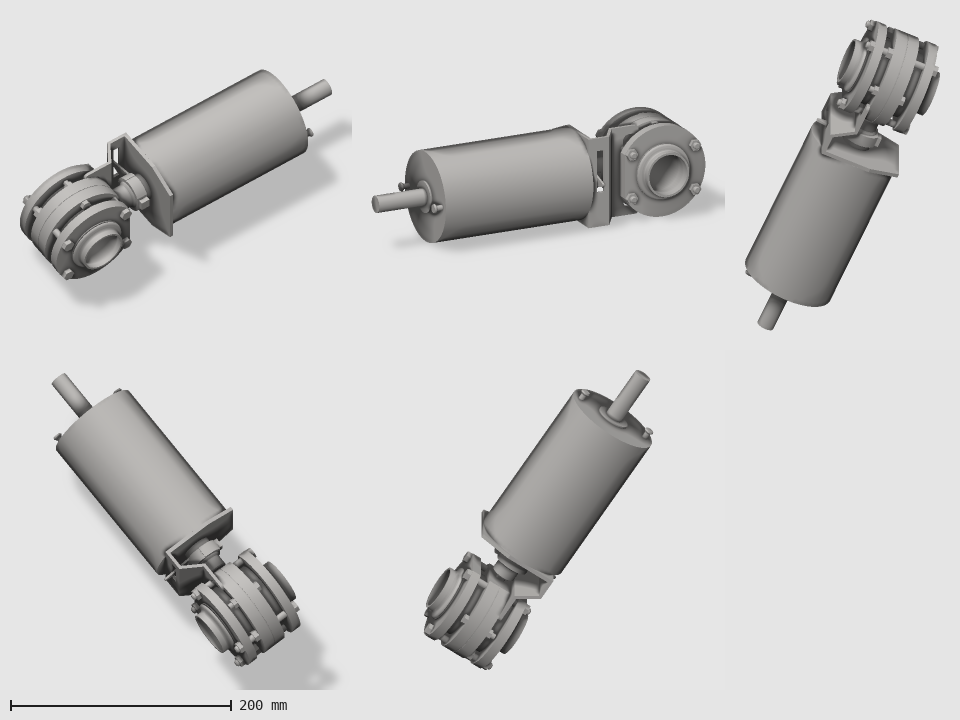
import cadquery as cq
import math


BORE_D = 38.0
PIPE_D = 42.0
PIPE_END_X = 41.5
COLLAR_D = 52.7
COLLAR_GROOVE_D = 49.0
COLLAR_X = 32.7
CONE_END_X = 34.5
CONE_FILLET = 2.2
COLLAR_GROOVE_X = (30.2, 31.0)
FLANGE_D = 86.5
FLANGE_IN_X = 20.5
FLANGE_OUT_X = 29.2
NECK_D = 62.0
DISC_D = FLANGE_D
DISC_HALF = 11.0
SEAM_WIDTH = 1.0
SEAM_DEPTH = 0.48
FLAT_Y = 37.8

BOLT_CIRCLE_R = 38.0
BOLT_ANGLE = 33.5
LONG_BOLT_D = 6.5
LONG_NUT_FLATS = 9.5
LONG_HEAD_LENGTH = 4.0
LONG_BOLT_END_X = -36.2
BOLT_CHAMFER = 1.0
INNER_NUT_LENGTH = 4.8
SHORT_BOLT_D = 5.5
SHORT_NUT_FLATS = 8.3
SHORT_NUT_LENGTH = 3.8
SHORT_BOLT_END_X = -18.7

ACTUATOR_D = 85.0
ACTUATOR_Y = 76.0
ACTUATOR_TOP_Y = 224.3
ROD_D = 16.0
OVERALL_LENGTH = 317.7
ROD_TOP_Y = OVERALL_LENGTH - FLANGE_D / 2
BOSS_D = 30.0
BOSS_HEIGHT = 2.0
STUD_X = 34.3
STUD_D = 5.0
STUD_NECK = 5.5
STUD_HEAD_D = 8.5
STUD_TIP_D = 7.5
STUD_CONE = 2.0
STUD_CROWN = 1.5

HUB_D = 26.0
HUB_END_Y = 55.0
HUB_END_D = 25.0
HUB_BEVEL = 1.0
HUB_CONE_END_Y = 53.5
COUPLING_D = 22.0
COUPLING_END_Y = 42.5
COUPLING_CHAMFER = 1.0
STEM_D = 9.2
STEM_FLATS = 6.5

SHEET = 3.0
PLATE = 3.5
BRACKET_HALF_Z = 42.3
LEG_X = -32.7
UPPER_BEND_Y = 55.3
LOWER_BEND_Y = 43.5
BRACKET_TIP_Y = 16.5
TIP_RADIUS = 3.5
PLATE_END_X = ACTUATOR_D / 2
PLATE_END_HALF_Z = 30.0
TAPER_X = 14.0
SLOT_Y = (60.0, 67.5)
SLOT_Z = (-10.0, 30.2)
NOTCH_END_Y = 32.5
NOTCH_HALF_Z = 34.5
NOTCH_RADIUS = 6.5

RING_D = 33.5
RING_Y = (56.0, 66.5)
RING_FLAT_X = 14.5
LUG_END_X = 18.7
LUG_Y = 57.8
LUG_HALF_Z = 4.8
POINTER_THICKNESS = 2.0
POINTER_TIP_X = -42.0
POINTER_TIP_RADIUS = 2.0
POINTER_ROOT_HALF_Z = 9.5
SLIT_WIDTH = 2.0
SLIT_OFFSET = 3.2
SLIT_DEPTH = 1.3


def rod_x(diameter, x0, x1, y=0.0, z=0.0):
    """Round bar along X."""
    return cq.Workplane("YZ", origin=(x0, 0, 0)).center(y, z).circle(diameter / 2).extrude(x1 - x0)


def rod_y(diameter, y0, y1):
    """Round bar along Y."""
    return cq.Workplane("XZ", origin=(0, y0, 0)).circle(diameter / 2).extrude(y0 - y1)


def hex_x(flats, x0, x1, y, z):
    """Hexagonal bar along X with corners facing +Y and -Y."""
    corners = flats / math.cos(math.pi / 6)
    return cq.Workplane("YZ", origin=(x0, 0, 0)).center(y, z).polygon(6, corners).extrude(x1 - x0)


def box_between(x, y, z):
    """Box from three (low, high) pairs."""
    size = [high - low for low, high in (x, y, z)]
    return cq.Workplane("XY").box(*size, centered=False).translate((x[0], y[0], z[0]))


BOLT_Y = BOLT_CIRCLE_R * math.cos(math.radians(BOLT_ANGLE))
BOLT_Z = BOLT_CIRCLE_R * math.sin(math.radians(BOLT_ANGLE))
LONG_BOLTS = [(sy * BOLT_Y, sz * BOLT_Z) for sy in (-1, 1) for sz in (-1, 1)]
SHORT_BOLTS_Z = (-BOLT_CIRCLE_R, BOLT_CIRCLE_R)


def cut_stem_flat(body):
    """Trim a round body to the flat that faces the actuator."""
    reach = FLANGE_D
    return body.cut(box_between((-reach, reach), (FLAT_Y, reach), (-reach, reach)))


def make_flange(side):
    """Weld end: flange ring, grooved collar, cone and pipe; side is -1 or +1 along X."""
    profile = [
        (FLANGE_IN_X, BORE_D / 2),
        (FLANGE_IN_X, FLANGE_D / 2),
        (FLANGE_OUT_X, FLANGE_D / 2),
        (FLANGE_OUT_X, COLLAR_D / 2),
        (COLLAR_X, COLLAR_D / 2),
        (CONE_END_X, PIPE_D / 2),
        (PIPE_END_X, PIPE_D / 2),
        (PIPE_END_X, BORE_D / 2),
    ]
    flange = cq.Workplane("XY").polyline(profile).close().revolve(360, (0, 0, 0), (1, 0, 0))
    cone_rims = cq.selectors.BoxSelector(
        (COLLAR_X - CONE_FILLET, -FLANGE_D, -FLANGE_D), (CONE_END_X + CONE_FILLET, FLANGE_D, FLANGE_D)
    )
    flange = flange.edges("%CIRCLE").edges(cone_rims).fillet(CONE_FILLET)
    groove = rod_x(FLANGE_D, *COLLAR_GROOVE_X).cut(rod_x(COLLAR_GROOVE_D, *COLLAR_GROOVE_X))
    flange = cut_stem_flat(flange.cut(groove))
    if side < 0:
        flange = flange.mirror("YZ")
    for y, z in LONG_BOLTS:
        flange = flange.cut(rod_x(LONG_BOLT_D, -PIPE_END_X, PIPE_END_X, y, z))
    return flange


def make_valve():
    """Centre disc with necks, seam groove, stem and the fixed bolts."""
    valve = cut_stem_flat(rod_x(DISC_D, -DISC_HALF, DISC_HALF))
    seam = rod_x(DISC_D, -SEAM_WIDTH / 2, SEAM_WIDTH / 2)
    seam = seam.cut(rod_x(DISC_D - 2 * SEAM_DEPTH, -SEAM_WIDTH / 2, SEAM_WIDTH / 2))
    valve = valve.cut(seam)
    valve = valve.union(rod_x(NECK_D, -FLANGE_IN_X, FLANGE_IN_X))
    valve = valve.cut(rod_x(BORE_D, -FLANGE_IN_X, FLANGE_IN_X))

    stem = rod_y(STEM_D, NECK_D / 2, COUPLING_END_Y)
    flats = (-STEM_FLATS / 2, STEM_FLATS / 2)
    stem = stem.intersect(box_between((-STEM_D, STEM_D), (0, COUPLING_END_Y), flats))
    valve = valve.union(stem)

    head_x = FLANGE_OUT_X + LONG_HEAD_LENGTH
    for y, z in LONG_BOLTS:
        bolt = rod_x(LONG_BOLT_D, LONG_BOLT_END_X, head_x, y, z)
        valve = valve.union(bolt.faces("<X").chamfer(BOLT_CHAMFER))
        valve = valve.union(hex_x(LONG_NUT_FLATS, -head_x, -FLANGE_OUT_X, y, z))
        valve = valve.union(hex_x(LONG_NUT_FLATS, FLANGE_OUT_X, head_x, y, z))
        if y < 0:
            valve = valve.union(hex_x(LONG_NUT_FLATS, -DISC_HALF - INNER_NUT_LENGTH, -DISC_HALF, y, z))

    nut_x = DISC_HALF + SHORT_NUT_LENGTH
    for z in SHORT_BOLTS_Z:
        valve = valve.union(rod_x(SHORT_BOLT_D, SHORT_BOLT_END_X, nut_x, 0, z))
        valve = valve.union(hex_x(SHORT_NUT_FLATS, -nut_x, -DISC_HALF, 0, z))
        valve = valve.union(hex_x(SHORT_NUT_FLATS, DISC_HALF, nut_x, 0, z))
    return valve


def make_actuator():
    """Cylinder with an end boss, a rod and two studs."""
    actuator = rod_y(ACTUATOR_D, ACTUATOR_Y, ACTUATOR_TOP_Y)
    actuator = actuator.union(rod_y(BOSS_D, ACTUATOR_TOP_Y, ACTUATOR_TOP_Y + BOSS_HEIGHT))
    actuator = actuator.union(rod_y(ROD_D, ACTUATOR_TOP_Y, ROD_TOP_Y))
    neck_y = ACTUATOR_TOP_Y + STUD_NECK
    rim_y = neck_y + STUD_CONE
    stud_profile = [
        (0, ACTUATOR_TOP_Y),
        (STUD_D / 2, ACTUATOR_TOP_Y),
        (STUD_D / 2, neck_y),
        (STUD_HEAD_D / 2, rim_y),
        (STUD_TIP_D / 2, rim_y + STUD_CROWN),
        (0, rim_y + STUD_CROWN),
    ]
    stud = cq.Workplane("XY").polyline(stud_profile).close().revolve(360, (0, 0, 0), (0, 1, 0))
    for x in (-STUD_X, STUD_X):
        actuator = actuator.union(stud.translate((x, 0, 0)))
    return actuator


def make_coupling():
    """Stepped shaft from the actuator down to the valve stem."""
    profile = [
        (0, ACTUATOR_Y),
        (HUB_D / 2, ACTUATOR_Y),
        (HUB_D / 2, HUB_END_Y + HUB_BEVEL),
        (HUB_END_D / 2, HUB_END_Y),
        (COUPLING_D / 2, HUB_CONE_END_Y),
        (COUPLING_D / 2, COUPLING_END_Y + COUPLING_CHAMFER),
        (COUPLING_D / 2 - COUPLING_CHAMFER, COUPLING_END_Y),
        (0, COUPLING_END_Y),
    ]
    return cq.Workplane("XY").polyline(profile).close().revolve(360, (0, 0, 0), (0, 1, 0))


def make_bracket():
    """Bent sheet from the actuator face to the side of the valve disc."""
    low_x = -DISC_HALF - SHEET
    bend_run = low_x - LEG_X
    bend_angle = math.atan2(bend_run, UPPER_BEND_Y - LOWER_BEND_Y)
    miter = SHEET * math.tan(bend_angle / 2)
    side = [
        (PLATE_END_X, ACTUATOR_Y),
        (LEG_X, ACTUATOR_Y),
        (LEG_X, UPPER_BEND_Y),
        (low_x, LOWER_BEND_Y),
        (low_x, BRACKET_TIP_Y),
        (-DISC_HALF, BRACKET_TIP_Y),
        (-DISC_HALF, LOWER_BEND_Y + miter),
        (LEG_X + SHEET, UPPER_BEND_Y + miter),
        (LEG_X + SHEET, ACTUATOR_Y - PLATE),
        (PLATE_END_X, ACTUATOR_Y - PLATE),
    ]
    bracket = cq.Workplane("XY").polyline(side).close().extrude(BRACKET_HALF_Z, both=True)
    bracket = bracket.edges("|X and <Y").fillet(TIP_RADIUS)

    for side_z in (-1, 1):
        corner = [
            (TAPER_X, side_z * BRACKET_HALF_Z),
            (PLATE_END_X, side_z * BRACKET_HALF_Z),
            (PLATE_END_X, side_z * PLATE_END_HALF_Z),
        ]
        bracket = bracket.cut(
            cq.Workplane("XZ", origin=(0, ACTUATOR_Y, 0)).polyline(corner).close().extrude(PLATE)
        )

    bracket = bracket.cut(rod_y(HUB_D, ACTUATOR_Y - PLATE, ACTUATOR_Y))
    bracket = bracket.cut(box_between((LEG_X, LEG_X + SHEET), SLOT_Y, SLOT_Z))
    notch = box_between((low_x, -DISC_HALF), (0, NOTCH_END_Y), (-NOTCH_HALF_Z, NOTCH_HALF_Z))
    bracket = bracket.cut(notch.edges("|X and >Y").fillet(NOTCH_RADIUS))
    for side_z in (-1, 1):
        bracket = bracket.cut(rod_x(LONG_BOLT_D, low_x, -DISC_HALF, BOLT_Y, side_z * BOLT_Z))
    return bracket


def make_indicator():
    """Ring around the coupling with a pointer, a lug and two slits."""
    low_y, high_y = RING_Y
    radius = RING_D / 2
    ring = rod_y(RING_D, low_y, high_y)
    ring = ring.cut(box_between((RING_FLAT_X, radius), RING_Y, (-radius, radius)))
    ring = ring.union(box_between((0, LUG_END_X), (LUG_Y, high_y), (-LUG_HALF_Z, LUG_HALF_Z)))
    tip_start_x = POINTER_TIP_X + POINTER_TIP_RADIUS
    pointer = (
        cq.Workplane("XZ", origin=(0, high_y, 0))
        .moveTo(0, -POINTER_ROOT_HALF_Z)
        .lineTo(-HUB_D / 2, -POINTER_ROOT_HALF_Z)
        .lineTo(tip_start_x, -POINTER_TIP_RADIUS)
        .threePointArc((POINTER_TIP_X, 0), (tip_start_x, POINTER_TIP_RADIUS))
        .lineTo(-HUB_D / 2, POINTER_ROOT_HALF_Z)
        .lineTo(0, POINTER_ROOT_HALF_Z)
        .close()
    )
    ring = ring.union(pointer.extrude(POINTER_THICKNESS))
    ring = ring.cut(rod_y(HUB_D, low_y, high_y))
    slit = (SLIT_OFFSET - SLIT_WIDTH / 2, SLIT_OFFSET + SLIT_WIDTH / 2)
    top_slit_x = (-slit[1], -slit[0])
    ring = ring.cut(box_between(top_slit_x, RING_Y, (radius - SLIT_DEPTH, radius)))
    side_y = (low_y, high_y - POINTER_THICKNESS)
    return ring.cut(box_between((-radius, -radius + SLIT_DEPTH), side_y, slit))


left_flange = make_flange(-1)
right_flange = make_flange(1)
valve = make_valve()
actuator = make_actuator()
coupling = make_coupling()
bracket = make_bracket()
indicator = make_indicator()

bodies = [left_flange, right_flange, valve, actuator, coupling, bracket, indicator]
result = cq.Compound.makeCompound([body.solids().val() for body in bodies])